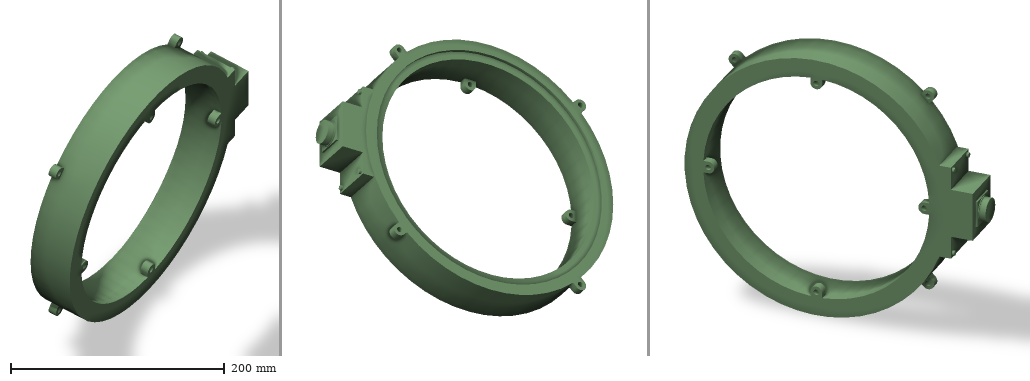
import cadquery as cq

ring_width = 44.8
ring_outer_radius = 134.0
bore_radius = 115.0
recess_radius = 123.0
recess_depth = 3.5

lug_radius = 6.0
lug_hole_radius = 2.7
lug_thickness = 8.2
outer_lug_distance = 139.0
inner_lug_distance = 109.8
outer_lug_root = 127.0
inner_lug_root = 118.0
lug_count = 4
lug_spacing = 360 / lug_count

overall_length = 302.5
connector_end = overall_length - ring_outer_radius
housing_front = 1.8
housing_width = ring_width - housing_front
housing_root = 121.0
foot_top = 137.0
foot_height = 95.5
box_top = 159.0
box_height = 49.3

screw_radius = 2.5
screw_head_height = 2.5
screw_edge_distance = 4.2
screw_z = 43.5

connector_x = 24.2
connector_radius = 11.8
plate_side = 26.5
plate_thickness = 1.8
collar_radius = 12.7
collar_thickness = 1.0


def cylinder_x(radius, start, length):
    """Cylinder around the ring axis."""
    return cq.Workplane("YZ", origin=(start, 0, 0)).circle(radius).extrude(length)


def cylinder_y(radius, x, z, start, length):
    """Cylinder pointing along +Y from Y = start."""
    axis_plane = cq.Plane(origin=(x, start, z), xDir=(1, 0, 0), normal=(0, 1, 0))
    return cq.Workplane(axis_plane).circle(radius).extrude(length)


def box_between(x_start, x_size, y_start, y_end, z_size):
    """Box centred on Z = 0."""
    size_y = y_end - y_start
    box = cq.Workplane("XY").box(x_size, size_y, z_size, centered=(False, False, True))
    return box.translate((x_start, y_start, 0))


def lug_body(distance, root, start, angle):
    """Round-ended lug whose straight sides run radially into the ring."""
    near = min(distance, root)
    far = max(distance, root)
    arm = box_between(start, lug_thickness, near, far, 2 * lug_radius)
    eye = cylinder_x(lug_radius, start, lug_thickness).translate((0, distance, 0))
    return arm.union(eye).rotate((0, 0, 0), (1, 0, 0), angle)


def lug_hole(distance, start, angle):
    hole = cylinder_x(lug_hole_radius, start, lug_thickness).translate((0, distance, 0))
    return hole.rotate((0, 0, 0), (1, 0, 0), angle)


def make_ring():
    ring = cylinder_x(ring_outer_radius, 0, ring_width)
    ring = ring.cut(cylinder_x(bore_radius, 0, ring_width))
    return ring.cut(cylinder_x(recess_radius, 0, recess_depth))


def add_lugs(body, distance, root, start, first_angle):
    for index in range(lug_count):
        angle = first_angle + index * lug_spacing
        body = body.union(lug_body(distance, root, start, angle))
        body = body.cut(lug_hole(distance, start, angle))
    return body


def make_housing():
    """Stepped housing, trimmed so that it only touches the outside of the ring."""
    foot = box_between(housing_front, housing_width, housing_root, foot_top, foot_height)
    box = box_between(housing_front, housing_width, housing_root, box_top, box_height)
    return foot.union(box).cut(cylinder_x(ring_outer_radius, 0, ring_width))


def add_screws(body):
    front_x = housing_front + screw_edge_distance
    back_x = ring_width - screw_edge_distance
    for x in (front_x, back_x):
        for z in (-screw_z, screw_z):
            body = body.union(cylinder_y(screw_radius, x, z, foot_top, screw_head_height))
    return body


def add_connector(body):
    plate_top = box_top + plate_thickness
    plate = box_between(connector_x - plate_side / 2, plate_side, box_top, plate_top, plate_side)
    collar = cylinder_y(collar_radius, connector_x, 0, plate_top, collar_thickness)
    barrel = cylinder_y(connector_radius, connector_x, 0, box_top, connector_end - box_top)
    return body.union(plate).union(collar).union(barrel)


result = make_ring()
result = add_lugs(result, outer_lug_distance, outer_lug_root, 0, lug_spacing / 2)
result = add_lugs(result, inner_lug_distance, inner_lug_root, ring_width - lug_thickness, 0)
result = result.union(make_housing())
result = add_screws(result)
result = add_connector(result)